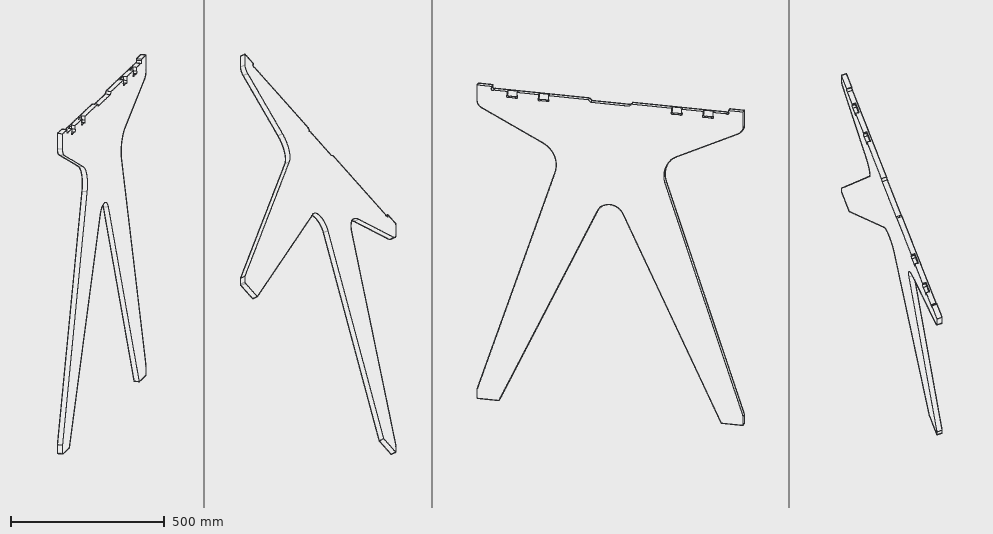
import cadquery as cq
import math

thickness = 18.0
width = 900.0
height = 1092.0
half_width = width / 2

relief_radius = 5.0

lug_width = 50.0
seat_depth = 12.0
seat_z = height - seat_depth
half_seat = half_width - lug_width
middle_depth = 8.0
middle_half_width = 65.0
middle_slope_run = 8.0

arm_slope = math.radians(26.0)
arm_end_height = 70.0
arm_end_radius = 29.0

leg_outer_tilt = math.radians(18.6)
leg_inner_tilt = math.radians(25.57)
foot_end_height = 31.5
foot_width = 74.0
foot_radius = 3.5
neck_radius = 80.0
crotch_radius = 48.5

pocket_positions = (225.0, 331.0)
pocket_width = 34.0
pocket_depth = 20.0
pocket_wall = 6.0

arm_corner_z = height - arm_end_height
neck_drop = (
    (arm_corner_z - foot_end_height) * math.tan(leg_outer_tilt)
    * math.tan(arm_slope) / (1 + math.tan(leg_outer_tilt) * math.tan(arm_slope))
)
neck_z = arm_corner_z - neck_drop
neck_y = half_width - neck_drop / math.tan(arm_slope)
foot_inner_y = half_width - foot_width
crotch_z = foot_inner_y / math.tan(leg_inner_tilt)


def make_panel():
    """Symmetric panel outline with sharp corners, extruded along X."""
    side = [
        (middle_half_width, seat_z - middle_depth),
        (middle_half_width + middle_slope_run, seat_z),
        (half_seat, seat_z),
        (half_seat, height),
        (half_width, height),
        (half_width, arm_corner_z),
        (neck_y, neck_z),
        (half_width, foot_end_height),
        (half_width, 0),
        (foot_inner_y, 0),
    ]
    mirrored = [(-y, z) for y, z in reversed(side)]
    outline = side + [(0, crotch_z)] + mirrored
    panel = cq.Workplane("YZ").polyline(outline).close().extrude(thickness)
    return panel.translate((-thickness / 2, 0, 0))


def round_corner(panel, y, z, radius):
    """Fillet the through-thickness edge at the given corner."""
    corner = cq.selectors.NearestToPointSelector((0, y, z))
    return panel.edges("|X").edges(corner).fillet(radius)


def round_outline(panel):
    """Round the arm ends, neck, feet and crotch."""
    panel = round_corner(panel, 0, crotch_z, crotch_radius)
    for side in (-1, 1):
        panel = round_corner(panel, side * half_width, arm_corner_z, arm_end_radius)
        panel = round_corner(panel, side * neck_y, neck_z, neck_radius)
        panel = round_corner(panel, side * half_width, 0, foot_radius)
    return panel


def corner_reliefs(corners, length):
    """Cylinders along X whose rims pass through inner corners given as (y, z, y direction)."""
    offset = relief_radius * math.sqrt(0.5)
    centres = [(y + y_direction * offset, z + offset) for y, z, y_direction in corners]
    return cq.Workplane("YZ").pushPoints(centres).circle(relief_radius).extrude(length)


def cut_seat_reliefs(panel):
    """Clear the inner corners where the seat meets the end lugs."""
    corners = [(side * half_seat, seat_z, -side) for side in (-1, 1)]
    reliefs = corner_reliefs(corners, thickness)
    return panel.cut(reliefs.translate((-thickness / 2, 0, 0)))


def cut_pockets(panel):
    """Cut the pockets with relieved bottom corners, leaving a wall on the -X side."""
    length = thickness - pocket_wall
    corners = [(side * pocket_width / 2, 0, -side) for side in (-1, 1)]
    pocket = (
        cq.Workplane("XY")
        .box(length, pocket_width, pocket_depth, centered=(False, True, False))
        .union(corner_reliefs(corners, length))
    )
    pocket_x = pocket_wall - thickness / 2
    pocket_floor_z = seat_z - pocket_depth
    for position in pocket_positions:
        for side in (-1, 1):
            panel = panel.cut(pocket.translate((pocket_x, side * position, pocket_floor_z)))
    return panel


sharp_panel = make_panel()
rounded_panel = round_outline(sharp_panel)
relieved_panel = cut_seat_reliefs(rounded_panel)
result = cut_pockets(relieved_panel)